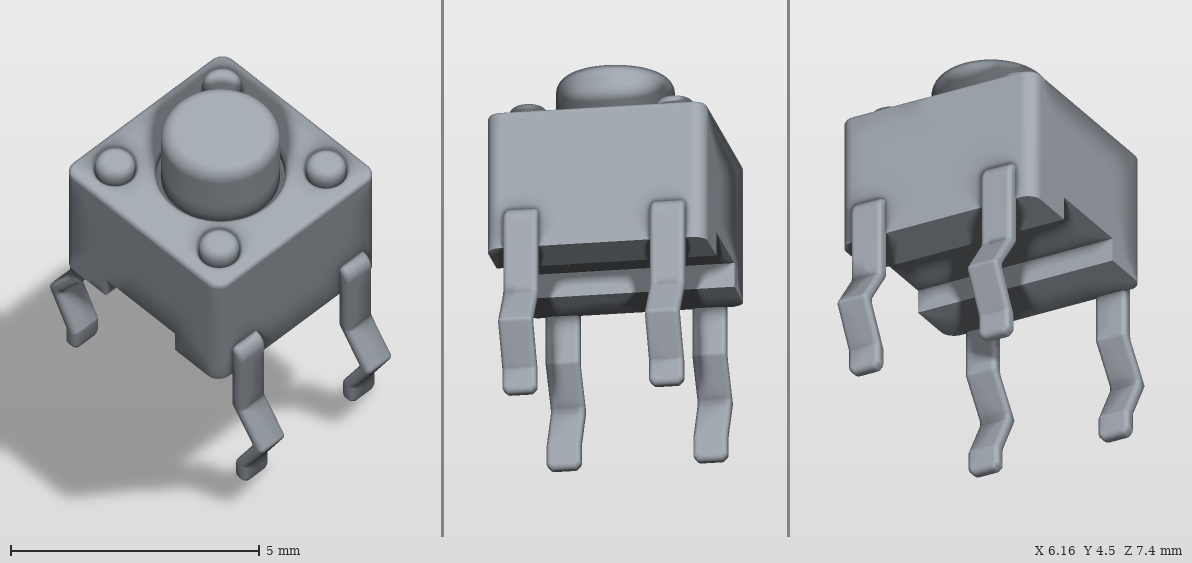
import cadquery as cq


button_diameter = 2.4
button_hole_diameter = 2.6
button_rise = 1.3
button_rounding = 0.3

edge_rounding = (button_hole_diameter - button_diameter) / 2

switch_width = 4.5
corner_radius = 0.3
cover_top_z = 2.9
cover_thickness = 2 * edge_rounding
housing_height = cover_top_z - cover_thickness
notch_width = 2.0
notch_depth = 0.5

stud_diameter = 0.8
stud_rise = 0.3
stud_rounding = 0.2
stud_offset = 1.5

leg_width = 0.7
leg_thickness = 3 * edge_rounding
foot_bevel = 0.1

shank_x = 2.2
knee_x = 2.8
foot_x = 2.3
leg_top_z = 0.8
shank_bottom_z = -1.0
knee_z = -1.8
foot_top_z = -2.685
foot_bottom_z = -3.2

stud_centers = [(side_x * stud_offset, side_y * stud_offset) for side_x in (-1, 1) for side_y in (-1, 1)]


def make_block(bottom_z, height):
    """Square block with rounded upright corners."""
    base = cq.Workplane("XY").workplane(offset=bottom_z)
    block = base.rect(switch_width, switch_width).extrude(height)
    return block.edges("|Z").fillet(corner_radius)


def make_cap(diameter, rise, rounding):
    """Round-topped cylinder that stands on the housing and rises above the cover."""
    base = cq.Workplane("XY").workplane(offset=housing_height)
    cap = base.circle(diameter / 2).extrude(cover_thickness + rise)
    return cap.faces(">Z").edges().fillet(rounding)


def make_housing(legs):
    """Block with the button on top, a notch across the underside and shallow leg recesses."""
    housing = make_block(0, housing_height)
    housing = housing.union(make_cap(button_diameter, button_rise, button_rounding))
    notch = cq.Workplane("XY").box(notch_width, switch_width, notch_depth, centered=(True, True, False))
    housing = housing.cut(notch)
    for leg in legs:
        housing = housing.cut(leg)
    return housing


def make_cover():
    """Plate with a clearance hole for the button, a hole for each stud and rounded top edges."""
    cover = make_block(housing_height, cover_thickness)
    holes = (
        cq.Workplane("XY")
        .workplane(offset=housing_height)
        .circle(button_hole_diameter / 2)
        .pushPoints(stud_centers)
        .circle(stud_diameter / 2)
        .extrude(cover_thickness)
    )
    return cover.cut(holes).faces(">Z").edges().fillet(edge_rounding)


def make_leg(side_x, side_y):
    """Cranked leg beside the housing; side_x and side_y are the signs of its corner."""
    profile = (
        cq.Workplane("XZ")
        .moveTo(shank_x, leg_top_z)
        .lineTo(shank_x, shank_bottom_z)
        .lineTo(knee_x, knee_z)
        .lineTo(foot_x, foot_top_z)
        .lineTo(foot_x, foot_bottom_z)
        .lineTo(foot_x + leg_thickness, foot_bottom_z)
        .lineTo(foot_x + leg_thickness, foot_top_z)
        .lineTo(knee_x + leg_thickness, knee_z)
        .lineTo(shank_x + leg_thickness, shank_bottom_z)
        .lineTo(shank_x + leg_thickness, leg_top_z - leg_thickness)
        .radiusArc((shank_x, leg_top_z), -leg_thickness)
        .close()
    )
    leg = profile.extrude(leg_width / 2, both=True)
    leg = leg.faces("<Z").edges("|X").chamfer(foot_bevel)
    leg = leg.edges("not >Z").fillet(edge_rounding)
    if side_x < 0:
        leg = leg.mirror("YZ")
    return leg.translate((0, side_y * stud_offset, 0))


stud = make_cap(stud_diameter, stud_rise, stud_rounding)
studs = [stud.translate((x, y, 0)) for x, y in stud_centers]
legs = [make_leg(side_x, side_y) for side_x in (-1, 1) for side_y in (-1, 1)]
housing = make_housing(legs)
cover = make_cover()

result = cq.Compound.makeCompound(
    [housing.val(), cover.val(), *[stud.val() for stud in studs], *[leg.val() for leg in legs]]
)